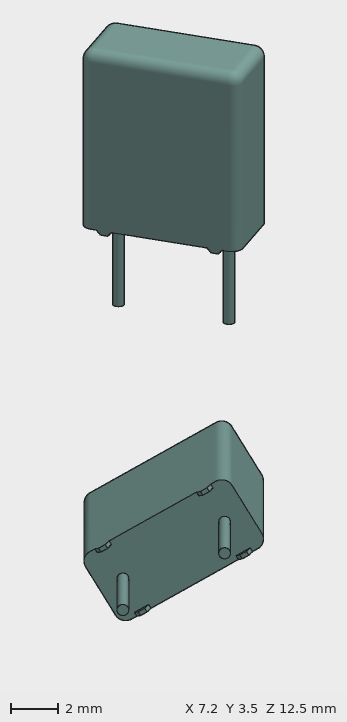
import cadquery as cq

total_height = 12.5
body_length = 7.2
body_width = 3.5
edge_radius = 0.5

lead_diameter = 0.5
lead_pitch = 5.0
lead_length = 4.2

foot_height = 0.2
foot_depth = 0.2
foot_top_length = 0.7
foot_bottom_length = 0.32

body_height = total_height - lead_length
lead_positions = [-lead_pitch / 2, lead_pitch / 2]


def make_foot(x, outer_y):
    """Tapered foot hanging from the body's underside, extending towards +Y from outer_y."""
    return (
        cq.Workplane("XZ", origin=(x, outer_y, 0))
        .moveTo(-foot_top_length / 2, 0)
        .lineTo(foot_top_length / 2, 0)
        .lineTo(foot_bottom_length / 2, -foot_height)
        .lineTo(-foot_bottom_length / 2, -foot_height)
        .close()
        .extrude(-foot_depth)
    )


def make_body():
    """Rounded capacitor case with a flat underside at Z = 0 and four standoff feet."""
    body = (
        cq.Workplane("XY")
        .box(body_length, body_width, body_height, centered=(True, True, False))
        .edges("|Z or >Z")
        .fillet(edge_radius)
    )
    for x in lead_positions:
        for outer_y in (-body_width / 2, body_width / 2 - foot_depth):
            body = body.union(make_foot(x, outer_y), clean=False)
    return body


def make_lead(x):
    """Straight round lead running down from the body's underside."""
    return cq.Workplane("XY").center(x, 0).circle(lead_diameter / 2).extrude(-lead_length)


body = make_body()
leads = [make_lead(x) for x in lead_positions]

result = cq.Compound.makeCompound([body.val(), *[lead.val() for lead in leads]])